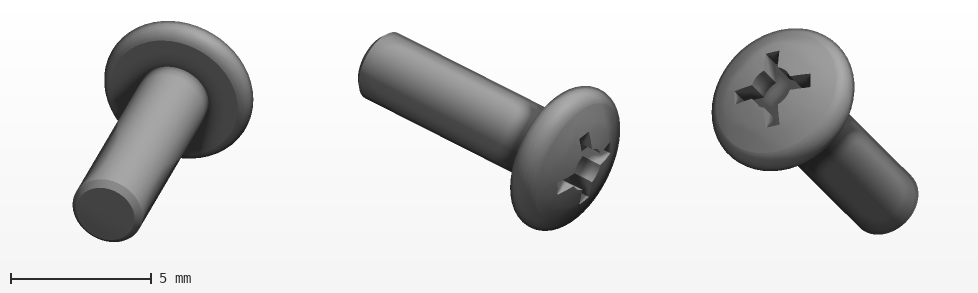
import cadquery as cq

shank_radius = 1.3
shank_length = 8.0
tip_chamfer = 0.22

head_radius = 2.75
bearing_radius = 2.38
rim_height = 1.14
head_height = 1.57
dome_radius = 6.0
crown_radius = 0.8

wing_width = 0.55
wing_span = 3.0
recess_depth = 1.0

rim_mid_height = rim_height / 2
rim_overhang = head_radius - bearing_radius
rim_radius = (rim_overhang**2 + rim_mid_height**2) / (2 * rim_overhang)


def make_head():
    """Revolve the rounded rim and the dome, flat inside the crown radius, about the Y axis."""
    return (
        cq.Workplane("XY")
        .lineTo(bearing_radius, 0)
        .radiusArc((head_radius, rim_mid_height), -rim_radius)
        .radiusArc((bearing_radius, rim_height), -rim_radius)
        .radiusArc((crown_radius, head_height), -dome_radius)
        .lineTo(0, head_height)
        .close()
        .revolve(360, (0, 0, 0), (0, 1, 0))
    )


def make_shank():
    """Plain round shank with a chamfered tip."""
    return (
        cq.Workplane("XZ")
        .circle(shank_radius)
        .extrude(shank_length)
        .faces("<Y")
        .chamfer(tip_chamfer)
    )


def make_cross_recess():
    """Round centre socket with four wings, all sunk to one flat floor."""
    floor_plane = cq.Workplane("XZ", origin=(0, head_height - recess_depth, 0))
    socket = floor_plane.circle(crown_radius).extrude(-recess_depth)
    wing_along_x = floor_plane.rect(wing_span, wing_width).extrude(-recess_depth)
    wing_along_z = floor_plane.rect(wing_width, wing_span).extrude(-recess_depth)
    return socket.union(wing_along_x).union(wing_along_z)


result = make_head().union(make_shank()).cut(make_cross_recess())